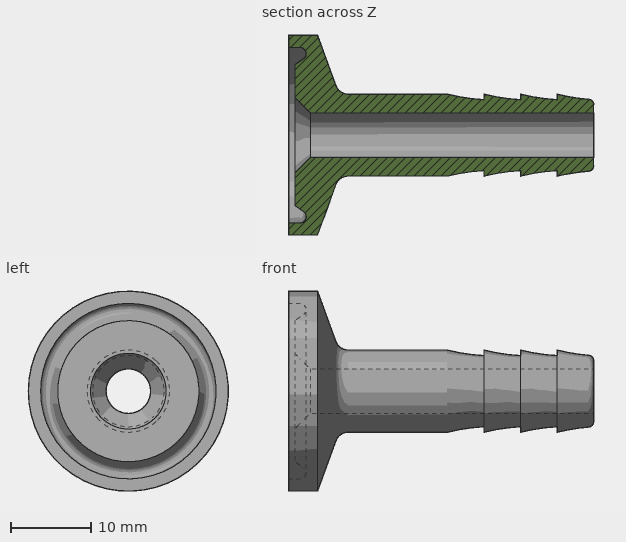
import cadquery as cq
import math

overall_length = 38.1
rim_thickness = 3.62
shank_end = 19.8
barb_pitch = 4.57
barb_count = 4

flange_radius = 25.0 / 2
shank_radius = 10.3 / 2
flange_back_angle = 20.0
neck_fillet = 1.65

barb_root_radius = 4.45
barb_hollow = 0.1
tip_fillet = 0.7

groove_outer_radius = 21.9 / 2
groove_wall_depth = 1.4
groove_bottom_radius = 0.75
land_side_angle = 35.0
land_recess = 0.75

bore_radius = 5.52 / 2
inlet_radius = 4.72
inlet_angle = 45.0


def flange_and_shank():
    """Revolved profile of the clamp flange, its conical back and the plain shank."""
    cone_length = (flange_radius - shank_radius) * math.tan(math.radians(flange_back_angle))
    cone_end = rim_thickness + cone_length
    turn_angle = math.radians(90 - flange_back_angle)
    tangent_length = neck_fillet * math.tan(turn_angle / 2)
    cone_tangent = (
        cone_end - tangent_length * math.cos(turn_angle),
        shank_radius + tangent_length * math.sin(turn_angle),
    )
    shank_tangent = (cone_end + tangent_length, shank_radius)
    fillet_middle = (
        shank_tangent[0] - neck_fillet * math.sin(turn_angle / 2),
        shank_radius + neck_fillet * (1 - math.cos(turn_angle / 2)),
    )
    profile = (
        cq.Workplane("XY")
        .lineTo(0, flange_radius)
        .lineTo(rim_thickness, flange_radius)
        .lineTo(*cone_tangent)
        .threePointArc(fillet_middle, shank_tangent)
        .lineTo(shank_end, shank_radius)
        .lineTo(shank_end, 0)
        .close()
    )
    return profile.revolve(360, (0, 0, 0), (1, 0, 0))


def barb(start):
    """One barb with a slightly hollow flank, narrowing toward the hose end."""
    end = start + barb_pitch
    flank_middle = (
        (start + end) / 2,
        (shank_radius + barb_root_radius) / 2 - barb_hollow,
    )
    profile = (
        cq.Workplane("XY")
        .moveTo(start, 0)
        .lineTo(start, shank_radius)
        .threePointArc(flank_middle, (end, barb_root_radius))
        .lineTo(end, 0)
        .close()
    )
    return profile.revolve(360, (0, 0, 0), (1, 0, 0))


def barbed_end():
    """Row of barbs, cut to the overall length and rounded at the tip."""
    barbs = barb(shank_end)
    for index in range(1, barb_count):
        barbs = barbs.union(barb(shank_end + index * barb_pitch))
    envelope = (
        cq.Workplane("YZ")
        .workplane(offset=shank_end)
        .circle(flange_radius)
        .extrude(overall_length - shank_end)
    )
    return barbs.intersect(envelope).faces(">X").edges().fillet(tip_fillet)


def face_recess():
    """Recess of the sealing face: round-bottomed groove around a lower central land."""
    side_angle = math.radians(land_side_angle)
    arc_centre_radius = groove_outer_radius - groove_bottom_radius
    arc_end = (
        groove_wall_depth + groove_bottom_radius * math.sin(side_angle),
        arc_centre_radius - groove_bottom_radius * math.cos(side_angle),
    )
    arc_bottom = (groove_wall_depth + groove_bottom_radius, arc_centre_radius)
    land_radius = arc_end[1] - (arc_end[0] - land_recess) * math.tan(side_angle)
    profile = (
        cq.Workplane("XY")
        .lineTo(0, groove_outer_radius)
        .lineTo(groove_wall_depth, groove_outer_radius)
        .threePointArc(arc_bottom, arc_end)
        .lineTo(land_recess, land_radius)
        .lineTo(land_recess, 0)
        .close()
    )
    return profile.revolve(360, (0, 0, 0), (1, 0, 0))


def bore():
    """Through bore with a conical inlet in the central land."""
    inlet_length = (inlet_radius - bore_radius) / math.tan(math.radians(inlet_angle))
    profile = (
        cq.Workplane("XY")
        .moveTo(land_recess, 0)
        .lineTo(land_recess, inlet_radius)
        .lineTo(land_recess + inlet_length, bore_radius)
        .lineTo(overall_length, bore_radius)
        .lineTo(overall_length, 0)
        .close()
    )
    return profile.revolve(360, (0, 0, 0), (1, 0, 0))


result = flange_and_shank().union(barbed_end()).cut(face_recess()).cut(bore())